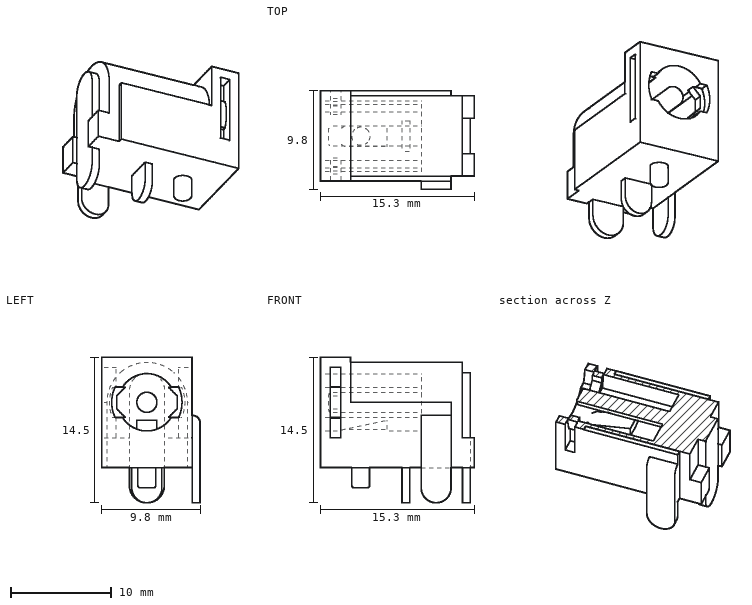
import cadquery as cq


flange_length = 3.0
body_width = 9.0
flange_height = 11.0
socket_z = 6.5
barrel_radius = 4.0
barrel_end = 14.1
body_end = 13.0
foot_end = 15.3
foot_height = 3.0

bore_radius = 2.85
bore_depth = 10.0
lobe_radius = 3.5
lobe_height = 3.0
pin_radius = 1.0
pin_start = 0.8
pin_fillet = 0.25

slot_start = 1.0
slot_end = 2.0
slot_height = 7.0
slot_floor_y = 3.1
plate_radius = 3.75
plate_height = lobe_height
plate_clearance = 0.04
key_half_width = 3.0
key_chamfer = 0.85

ramp_width = 2.0
ramp_start = 1.5
ramp_end = 6.6
ramp_top = 4.73
ramp_root_depth = 0.5

blade_thickness = 0.8
blade_bottom = -3.5
rear_blade_width = 3.5
rear_blade_top = 9.45
middle_blade_width = 3.0
middle_blade_start = 8.1
side_blade_width = 3.0
side_blade_top = 5.2
side_blade_fillet = 0.75
post_radius = 0.9
post_x = 4.0
post_length = 2.0
post_fillet = 0.25


def block(x_range, y_range, z_range):
    """Box given by its limits along each axis."""
    (x0, x1), (y0, y1), (z0, z1) = x_range, y_range, z_range
    return cq.Workplane("XY").box(x1 - x0, y1 - y0, z1 - z0, centered=False).translate((x0, y0, z0))


def mid_block(x_range, width, z_range):
    """Box centred on the middle plane."""
    return block(x_range, (-width / 2, width / 2), z_range)


def centred_heights(height):
    """Z limits of a feature centred on the socket axis."""
    return (socket_z - height / 2, socket_z + height / 2)


def socket_cylinder(radius, start, end):
    """Cylinder along the socket axis."""
    return cq.Workplane("YZ", origin=(start, 0, socket_z)).circle(radius).extrude(end - start)


def housing():
    flange = mid_block((0, flange_length), body_width, (0, flange_height))
    body = mid_block((0, body_end), body_width, (0, socket_z))
    tail = mid_block((0, barrel_end), 2 * barrel_radius, (0, socket_z))
    foot = mid_block((0, foot_end), 2 * barrel_radius, (0, foot_height))
    foot_gap = mid_block((barrel_end, foot_end), rear_blade_width, (0, foot_height))
    barrel = socket_cylinder(barrel_radius, 0, barrel_end)
    return flange.union(body).union(tail).union(foot).union(barrel).cut(foot_gap)


def trimmed_disc(radius, height, start, end):
    """Disc on the socket axis, trimmed flat above and below."""
    band = mid_block((start, end), body_width, centred_heights(height))
    return socket_cylinder(radius, start, end).intersect(band)


def socket_cavity():
    """Round bore with a lobe on either side."""
    lobes = trimmed_disc(lobe_radius, lobe_height, 0, bore_depth)
    return socket_cylinder(bore_radius, 0, bore_depth).union(lobes)


def side_slots():
    """Matching slots in both sides of the flange, joined by a loose-fitting passage for the plates."""
    x_range = (slot_start, slot_end)
    slot = block(x_range, (-body_width / 2, -slot_floor_y), centred_heights(slot_height))
    passage = mid_block(x_range, body_width, centred_heights(plate_height + 2 * plate_clearance))
    return slot.union(slot.mirror("XZ")).union(passage)


def key_plates():
    """Round-backed plates with an eight-sided opening between them."""
    opening = mid_block((slot_start, slot_end), 2 * key_half_width, centred_heights(plate_height))
    opening = opening.edges("|X").chamfer(key_chamfer)
    return trimmed_disc(plate_radius, plate_height, slot_start, slot_end).cut(opening)


def socket_pin():
    pin = socket_cylinder(pin_radius, pin_start, bore_depth)
    return pin.faces("<X").edges().fillet(pin_fillet)


def contact_ramp():
    floor_z = socket_z - bore_radius
    root_z = floor_z - ramp_root_depth
    profile = [(ramp_start, floor_z), (ramp_end, ramp_top), (ramp_end, root_z), (ramp_start, root_z)]
    return cq.Workplane("XZ", origin=(0, ramp_width / 2, 0)).polyline(profile).close().extrude(ramp_width)


def blade_across(start, width, top):
    """Terminal blade facing along X, with a round lower end."""
    radius = width / 2
    return (
        cq.Workplane("YZ", origin=(start, 0, 0))
        .moveTo(-radius, top)
        .lineTo(-radius, blade_bottom + radius)
        .threePointArc((0, blade_bottom), (radius, blade_bottom + radius))
        .lineTo(radius, top)
        .close()
        .extrude(blade_thickness)
    )


def rear_blade():
    radius = rear_blade_width / 2
    arc_z = rear_blade_top - radius
    rounding = cq.Workplane("YZ", origin=(barrel_end, 0, arc_z)).circle(radius).extrude(blade_thickness)
    return blade_across(barrel_end, rear_blade_width, arc_z).union(rounding)


def side_blade():
    radius = side_blade_width / 2
    start = body_end - side_blade_width
    middle = start + radius
    blade = (
        cq.Workplane("XZ", origin=(0, -body_width / 2, 0))
        .moveTo(start, side_blade_top)
        .lineTo(start, blade_bottom + radius)
        .threePointArc((middle, blade_bottom), (body_end, blade_bottom + radius))
        .lineTo(body_end, side_blade_top)
        .close()
        .extrude(blade_thickness)
    )
    return blade.faces(">Z").edges("<Y").fillet(side_blade_fillet)


def locating_post():
    post = cq.Workplane("XY", origin=(post_x, 0, -post_length)).circle(post_radius).extrude(post_length)
    return post.faces("<Z").edges().fillet(post_fillet)


result = (
    housing()
    .cut(socket_cavity())
    .cut(side_slots())
    .union(key_plates())
    .union(socket_pin())
    .union(contact_ramp())
    .union(blade_across(middle_blade_start, middle_blade_width, 0))
    .union(rear_blade())
    .union(side_blade())
    .union(locating_post())
)